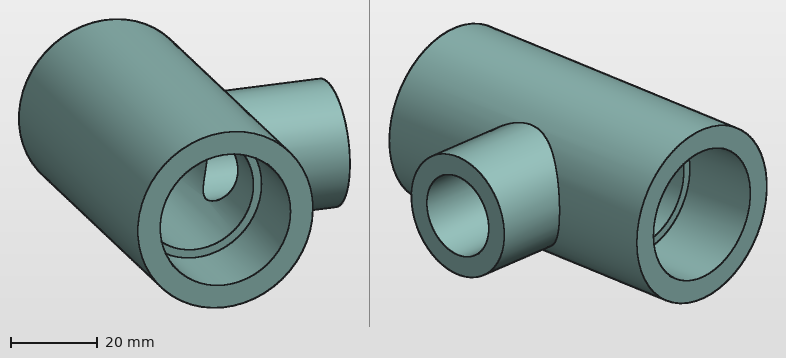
import cadquery as cq

run_length = 79.7
run_diameter = 43.0
socket_diameter = 32.0
socket_depth = 19.45
bore_diameter = 28.05

branch_diameter = 30.0
branch_reach = 39.8
branch_bore_diameter = 19.9


def cylinder_along_x(diameter, length):
    """Cylinder on the X axis, centred at the origin."""
    return cq.Workplane("YZ").circle(diameter / 2).extrude(length).translate((-length / 2, 0, 0))


def cylinder_along_y(diameter, length):
    """Cylinder from the origin towards +Y."""
    return cq.Workplane("XZ").circle(diameter / 2).extrude(-length)


body = cylinder_along_x(run_diameter, run_length).union(cylinder_along_y(branch_diameter, branch_reach))

body = body.cut(cylinder_along_x(bore_diameter, run_length))
body = body.cut(cylinder_along_y(branch_bore_diameter, branch_reach))

socket_offset = (run_length - socket_depth) / 2
for side in (-1, 1):
    socket = cylinder_along_x(socket_diameter, socket_depth)
    body = body.cut(socket.translate((side * socket_offset, 0, 0)))

result = body